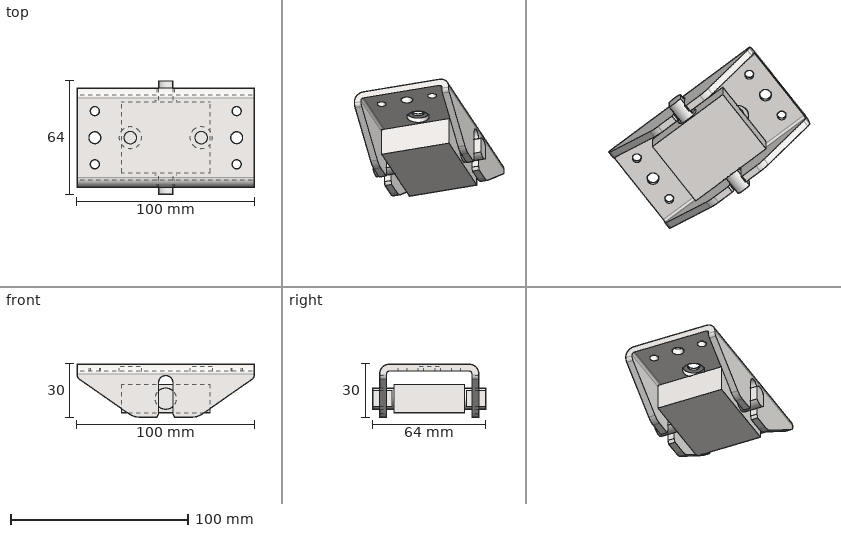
import cadquery as cq

length = 100
width = 56
height = 30
thickness = 4
bend_inner_radius = 1.5
bend_outer_radius = bend_inner_radius + thickness

flange_end_depth = 7.7
slope_foot_x = 18
end_corner_radius = 3
foot_corner_radius = 10

slot_width = 8
slot_top_depth = 6.5
slot_mouth_chamfer_x = 1
slot_mouth_chamfer_z = 2

outer_hole_x = 40
outer_hole_y = 15
small_hole_diameter = 5
large_hole_diameter = 6.6
inner_hole_x = 20
inner_hole_diameter = 7
counterbore_diameter = 12.5
counterbore_depth = 2.75

block_length = 50
block_width = 40
block_height = 16
slider_depth = 19.5
trunnion_diameter = 12
trunnion_flat_width = slot_width
collar_length = 1
slider_width = 64


def make_channel():
    """Bent sheet with the full flange height over the whole length."""
    outer = (
        cq.Workplane("XY")
        .box(length, width, height, centered=(True, True, False))
        .translate((0, 0, -height))
        .edges("|X and >Z")
        .fillet(bend_outer_radius)
    )
    inner = (
        cq.Workplane("XY")
        .box(length, width - 2 * thickness, height, centered=(True, True, False))
        .translate((0, 0, -height - thickness))
        .edges("|X and >Z")
        .fillet(bend_inner_radius)
    )
    return outer.cut(inner)


def make_flange_outline():
    """Tapered front outline of the bracket, extruded across its width."""
    end_x = length / 2
    outline = (
        cq.Workplane("XZ")
        .polyline([
            (-end_x, 0),
            (end_x, 0),
            (end_x, -flange_end_depth),
            (slope_foot_x, -height),
            (-slope_foot_x, -height),
            (-end_x, -flange_end_depth),
        ])
        .close()
        .extrude(width / 2, both=True)
    )
    outline = outline.edges("|Y and <Z").fillet(foot_corner_radius)
    return outline.edges("|Y and (<X or >X)").edges("<Z").fillet(end_corner_radius)


def make_slot_cutter():
    """Round-topped slot, open at the bottom with a widened mouth."""
    half = slot_width / 2
    mouth_half = half + slot_mouth_chamfer_x
    arc_z = -slot_top_depth - half
    mouth_z = -height + slot_mouth_chamfer_z
    return (
        cq.Workplane("XZ")
        .moveTo(-half, arc_z)
        .threePointArc((0, -slot_top_depth), (half, arc_z))
        .lineTo(half, mouth_z)
        .lineTo(mouth_half, -height)
        .lineTo(-mouth_half, -height)
        .lineTo(-half, mouth_z)
        .close()
        .extrude(width / 2, both=True)
    )


def make_hole_cutter(points, diameter, depth=thickness):
    """Vertical cylinders rising by the given depth from the underside of the top plate."""
    return (
        cq.Workplane("XY")
        .workplane(offset=-thickness)
        .pushPoints(points)
        .circle(diameter / 2)
        .extrude(depth)
    )


def make_bracket():
    body = make_channel().intersect(make_flange_outline()).cut(make_slot_cutter())
    corner_points = [(sx * outer_hole_x, sy * outer_hole_y) for sx in (-1, 1) for sy in (-1, 1)]
    end_points = [(sx * outer_hole_x, 0) for sx in (-1, 1)]
    inner_points = [(sx * inner_hole_x, 0) for sx in (-1, 1)]
    body = body.cut(make_hole_cutter(corner_points, small_hole_diameter))
    body = body.cut(make_hole_cutter(end_points, large_hole_diameter))
    body = body.cut(make_hole_cutter(inner_points, inner_hole_diameter))
    return body.cut(make_hole_cutter(inner_points, counterbore_diameter, counterbore_depth))


def make_slider():
    block = cq.Workplane("XY").box(block_length, block_width, block_height)
    collars = (
        cq.Workplane("XZ")
        .circle(trunnion_diameter / 2)
        .extrude(block_width / 2 + collar_length, both=True)
    )
    flatted_ends = (
        cq.Workplane("XZ")
        .circle(trunnion_diameter / 2)
        .extrude(slider_width / 2, both=True)
        .intersect(cq.Workplane("XY").box(trunnion_flat_width, slider_width, trunnion_diameter))
    )
    return block.union(collars).union(flatted_ends).translate((0, 0, -slider_depth))


bracket = make_bracket()
slider = make_slider()

result = cq.Compound.makeCompound([bracket.val(), slider.val()])